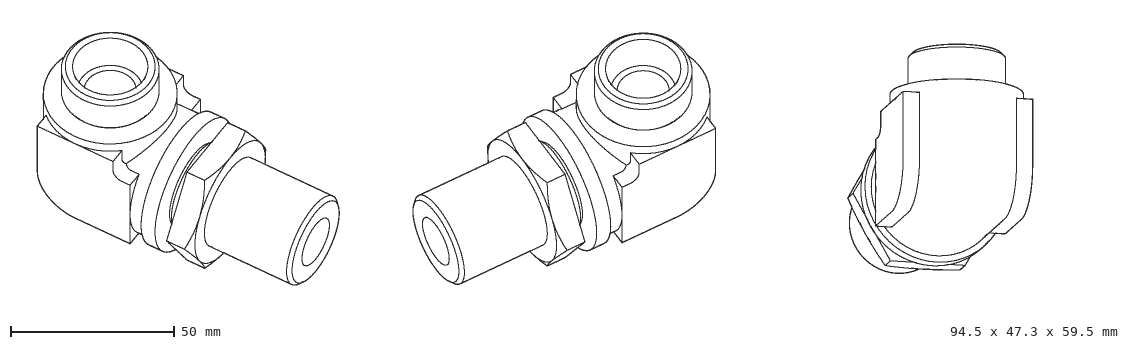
import cadquery as cq
import math


body_dia = 41.0
body_radius = body_dia / 2
body_top = 24.5
bore_dia = 16.0

thread_dia = 30.0
thread_radius = thread_dia / 2
thread_chamfer = 1.2
root_chamfer_radial = 0.9
inlet_top = 37.0
overall_length = 94.5
stem_end = overall_length - body_radius

socket_dia = 20.0
socket_depth = 11.0
cone_mouth_dia = 23.1
cone_half_angle = 12

flange_dia = 45.0
flange_start = 25.0
flange_end = 30.05
nut_start = 35.0
nut_end = 43.2
nut_across_flats = body_dia
nut_chamfer_angle = 30

pad_edge = 13.6
pad_top = 21.1
pad_right = 19.8
notch_corner = 13.7
notch_radius = 3.2


def cylinder_x(diameter, start, end):
    return cq.Workplane("YZ", origin=(start, 0, 0)).circle(diameter / 2).extrude(end - start)


def cylinder_z(diameter, start, end):
    return cq.Workplane("XY", origin=(0, 0, start)).circle(diameter / 2).extrude(end - start)


def elbow(diameter, end_x, end_z):
    """Two round arms joined by a ball at the origin."""
    ball = cq.Workplane("XY").sphere(diameter / 2)
    return ball.union(cylinder_x(diameter, 0, end_x)).union(cylinder_z(diameter, 0, end_z))


def threaded_end(start, end):
    """Solid round along +Z with a chamfered tip and a tapered root."""
    root_radius = thread_radius - root_chamfer_radial
    profile = [
        (0, start),
        (root_radius, start),
        (thread_radius, start + thread_chamfer),
        (thread_radius, end - thread_chamfer),
        (thread_radius - thread_chamfer, end),
        (0, end),
    ]
    return cq.Workplane("XZ").polyline(profile).close().revolve(360, (0, 0), (0, 1))


def wrench_pads():
    """Block as wide as the body, rounded at the outer bend and notched at the inner bend."""
    arc_mid = pad_edge * math.sqrt(0.5)
    notch_center = notch_corner + notch_radius
    notch_mid = notch_center - notch_radius * math.sqrt(0.5)
    return (
        cq.Workplane("XZ")
        .moveTo(-pad_edge, pad_top)
        .lineTo(-pad_edge, 0)
        .threePointArc((-arc_mid, -arc_mid), (0, -pad_edge))
        .lineTo(pad_right, -pad_edge)
        .lineTo(pad_right, notch_corner)
        .lineTo(notch_center, notch_corner)
        .threePointArc((notch_mid, notch_mid), (notch_corner, notch_center))
        .lineTo(notch_corner, pad_top)
        .close()
        .extrude(body_radius, both=True)
    )


def lock_nut():
    """Hexagon with flats facing +Z and -Z and its corners chamfered on the +X face."""
    corner_radius = nut_across_flats / 2 / math.cos(math.pi / 6)
    flat_radius = nut_across_flats / 2
    chamfer_depth = (corner_radius - flat_radius) * math.tan(math.radians(nut_chamfer_angle))
    hexagon = (
        cq.Workplane("YZ", origin=(nut_start, 0, 0))
        .polygon(6, 2 * corner_radius)
        .extrude(nut_end - nut_start)
    )
    envelope_profile = [
        (nut_start, 0),
        (nut_start, corner_radius),
        (nut_end - chamfer_depth, corner_radius),
        (nut_end, flat_radius),
        (nut_end, 0),
    ]
    envelope = cq.Workplane("XZ").polyline(envelope_profile).close().revolve(360, (0, 0), (1, 0))
    return hexagon.intersect(envelope)


def inlet_socket():
    """Cutter for the conical mouth and the straight tube socket below it."""
    cone_depth = (cone_mouth_dia - socket_dia) / 2 / math.tan(math.radians(cone_half_angle))
    profile = [
        (0, inlet_top),
        (cone_mouth_dia / 2, inlet_top),
        (socket_dia / 2, inlet_top - cone_depth),
        (socket_dia / 2, inlet_top - socket_depth),
        (0, inlet_top - socket_depth),
    ]
    return cq.Workplane("XZ").polyline(profile).close().revolve(360, (0, 0), (0, 1))


inlet = threaded_end(body_top, inlet_top)
stem = threaded_end(flange_end, stem_end).rotate((0, 0, 0), (0, 1, 0), 90)

result = (
    elbow(body_dia, flange_start, body_top)
    .union(wrench_pads())
    .union(cylinder_x(flange_dia, flange_start, flange_end))
    .union(inlet)
    .union(stem)
    .union(lock_nut())
    .cut(elbow(bore_dia, stem_end, inlet_top))
    .cut(inlet_socket())
)